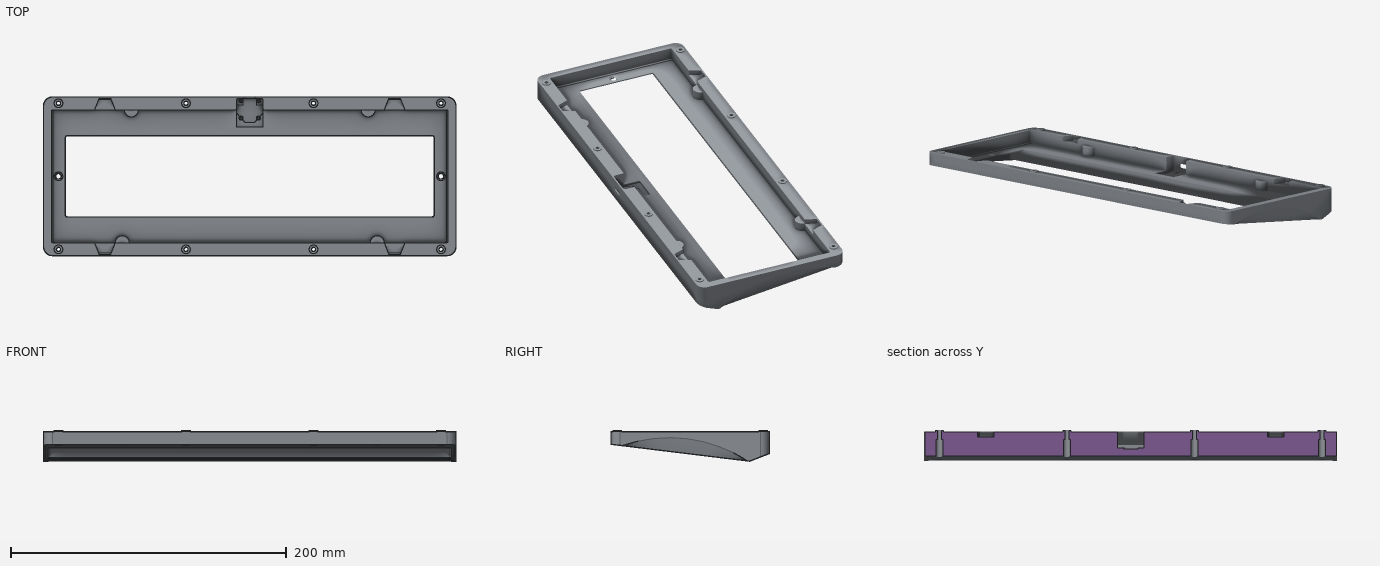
import cadquery as cq
import math

LENGTH = 299.5
WIDTH = 115.3
CORNER_RADIUS = 6.5
BOSS_HEIGHT = 1.0
RIM_TO_BASE = 22.5 - BOSS_HEIGHT
FRONT_HEIGHT = 9.3
BACK_HEIGHT = 16.0
RIDGE_Y = 43.0
OVERCUT = 3.0

TRAY_LENGTH = 288.0
TRAY_WIDTH = 96.5
TRAY_DEPTH = 10.0
TRAY_CORNER_RADIUS = 1.2
END_LEDGE = 1.2
END_LEDGE_HEIGHT = 1.0

WINDOW_LENGTH = 267.7
WINDOW_WIDTH = 58.7
WINDOW_CORNER_RADIUS = 1.5
SHELF_THICKNESS = 1.0
POCKET_LENGTH = 293.0
POCKET_CORNER_RADIUS = 1.8

STEP_DEPTH = 1.0
STEP_FRONT_Y = -37.7
STEP_BACK_Y = 44.0

SCOOP_FRONT_Y = -49.5
SCOOP_BACK_Y = 41.5
SCOOP_RISE = 10.8
SCOOP_DEPTH = 1.5
SCOOP_INNER_RISE = 0.05

SCREW_PITCH = 92.5
SCREW_COLUMNS = 4
SCREW_Y = 53.0
BOSS_DIAMETER = 6.3
SCREW_HOLE_DIAMETER = 2.9
HEAD_DIAMETER = 4.8
HEAD_SEAT_Z = -6.0
END_HOLE_DIAMETER = 4.0

NOTCH_X = 105.0
NOTCH_INNER_WIDTH = 15.0
NOTCH_OUTER_WIDTH = 8.5
NOTCH_OUTER_Y = 56.5
NOTCH_DEPTH = 4.0
NOTCH_CHAMFER = 1.0

LUG_RADIUS = 5.0
LUG_TOP_Z = -3.3
BACK_LUG_X = 86.0
FRONT_LUG_X = 92.5

BAY_WIDTH = 19.2
BAY_FRONT_Y = 35.5
BAY_BACK_Y = 56.5
BAY_DEPTH = 11.7
WELL_DEPTH = 12.3
WELL_FRONT_Y = 39.2
WELL_FRONT_WIDTH = 7.2
WELL_SIDE_FRONT_Y = 45.8
WELL_SIDE_BACK_Y = 51.8
WELL_NECK_WIDTH = 10.0
BAY_BACK_CORNER_RADIUS = 1.5
BAY_MOUTH_RADIUS = 1.0
PLUG_SLOT_LENGTH = 8.7
PLUG_SLOT_HEIGHT = 3.3
PLUG_SLOT_Z = -7.0
POST_X = 6.3
POST_YS = (42.2, 54.8)
POST_DIAMETER = 2.9
POST_HOLE_DIAMETER = 1.62
POST_HEIGHT = 1.0

TRAY_WALL_Y = TRAY_WIDTH / 2
BOTTOM_SLOPE = (RIM_TO_BASE - FRONT_HEIGHT) / (RIDGE_Y + WIDTH / 2)


def bottom_z(y):
    """Height of the long sloped bottom face at a given Y."""
    return -FRONT_HEIGHT - BOTTOM_SLOPE * (y + WIDTH / 2)


def box(x_size, y_min, y_max, z_min, z_max):
    """Block centred on X = 0."""
    return (cq.Workplane("XY", origin=(0, (y_min + y_max) / 2, z_min))
            .rect(x_size, y_max - y_min).extrude(z_max - z_min))


def cylinder(x, y, diameter, z_min, z_max):
    return cq.Workplane("XY", origin=(x, y, z_min)).circle(diameter / 2).extrude(z_max - z_min)


def make_body():
    side_profile = [
        (-WIDTH / 2, 0),
        (WIDTH / 2, 0),
        (WIDTH / 2, -BACK_HEIGHT),
        (RIDGE_Y, -RIM_TO_BASE),
        (-WIDTH / 2, -FRONT_HEIGHT),
    ]
    wedge = cq.Workplane("YZ").polyline(side_profile).close().extrude(LENGTH / 2, both=True)
    corners = box(LENGTH, -WIDTH / 2, WIDTH / 2, -RIM_TO_BASE, 0).edges("|Z").fillet(CORNER_RADIUS)
    return wedge.intersect(corners)


def cut_tray(body):
    tray = box(TRAY_LENGTH, -TRAY_WALL_Y, TRAY_WALL_Y, -TRAY_DEPTH + END_LEDGE_HEIGHT, OVERCUT)
    floor_length = TRAY_LENGTH - 2 * END_LEDGE
    deep_tray = box(floor_length, -TRAY_WALL_Y, TRAY_WALL_Y, -TRAY_DEPTH, OVERCUT)
    return (body.cut(tray.edges("|Z").fillet(TRAY_CORNER_RADIUS))
            .cut(deep_tray.edges("|Z").fillet(TRAY_CORNER_RADIUS)))


def cut_window(body):
    half = WINDOW_WIDTH / 2
    base = -RIM_TO_BASE - OVERCUT
    window = box(WINDOW_LENGTH, -half, half, base, 0).edges("|Z").fillet(WINDOW_CORNER_RADIUS)
    pocket = box(POCKET_LENGTH, -half, half, base, -TRAY_DEPTH - SHELF_THICKNESS)
    return body.cut(window).cut(pocket.edges("|Z").fillet(POCKET_CORNER_RADIUS))


def cut_bottom_step(body):
    profile = [
        (STEP_FRONT_Y, bottom_z(STEP_FRONT_Y) + STEP_DEPTH),
        (STEP_BACK_Y, bottom_z(STEP_BACK_Y) + STEP_DEPTH),
        (STEP_BACK_Y, bottom_z(STEP_BACK_Y) - OVERCUT),
        (STEP_FRONT_Y, bottom_z(STEP_FRONT_Y) - OVERCUT),
    ]
    step = cq.Workplane("YZ").polyline(profile).close().extrude(POCKET_LENGTH / 2, both=True)
    return body.cut(step)


def scoop_section(rise, x):
    """Circular segment of the given rise above the sloped bottom, with a margin below it."""
    slope = math.atan(BOTTOM_SLOPE)
    middle_y = (SCOOP_FRONT_Y + SCOOP_BACK_Y) / 2
    crown = (middle_y + rise * math.sin(slope), bottom_z(middle_y) + rise * math.cos(slope))
    return (cq.Workplane("YZ", origin=(x, 0, 0))
            .moveTo(SCOOP_FRONT_Y, bottom_z(SCOOP_FRONT_Y))
            .threePointArc(crown, (SCOOP_BACK_Y, bottom_z(SCOOP_BACK_Y)))
            .lineTo(SCOOP_BACK_Y, bottom_z(SCOOP_BACK_Y) - OVERCUT)
            .lineTo(SCOOP_FRONT_Y, bottom_z(SCOOP_FRONT_Y) - OVERCUT)
            .close().val())


def cut_scoops(body):
    outer = scoop_section(SCOOP_RISE, -LENGTH / 2)
    inner = scoop_section(SCOOP_INNER_RISE, -LENGTH / 2 + SCOOP_DEPTH)
    scoop = cq.Workplane(cq.Solid.makeLoft([outer, inner], True))
    return body.cut(scoop).cut(scoop.mirror("YZ"))


def add_lugs(body):
    lugs = [(BACK_LUG_X, 1), (FRONT_LUG_X, -1)]
    for lug_x, side in lugs:
        for x in (-lug_x, lug_x):
            y = side * TRAY_WALL_Y
            body = body.union(cylinder(x, y, 2 * LUG_RADIUS, -TRAY_DEPTH, LUG_TOP_Z))
    return body


def cut_notches(body):
    outline = [
        (-NOTCH_INNER_WIDTH / 2, TRAY_WALL_Y),
        (-NOTCH_OUTER_WIDTH / 2, NOTCH_OUTER_Y),
        (NOTCH_OUTER_WIDTH / 2, NOTCH_OUTER_Y),
        (NOTCH_INNER_WIDTH / 2, TRAY_WALL_Y),
    ]
    notch = (cq.Workplane("XY", origin=(0, 0, -NOTCH_DEPTH))
             .polyline(outline).close().extrude(NOTCH_DEPTH + OVERCUT)
             .faces(">Y").edges("<Z").chamfer(NOTCH_CHAMFER))
    for x in (-NOTCH_X, NOTCH_X):
        back_notch = notch.translate((x, 0, 0))
        body = body.cut(back_notch).cut(back_notch.mirror("XZ"))
    return body


def make_connector_bay(body):
    bay = box(BAY_WIDTH, BAY_FRONT_Y, BAY_BACK_Y, -BAY_DEPTH, OVERCUT)
    body = body.cut(bay.faces(">Y").edges("|Z").fillet(BAY_BACK_CORNER_RADIUS))
    mouth = cq.selectors.BoxSelector(
        (-BAY_WIDTH, TRAY_WALL_Y - BAY_MOUTH_RADIUS, -BAY_DEPTH),
        (BAY_WIDTH, TRAY_WALL_Y + BAY_MOUTH_RADIUS, OVERCUT))
    body = body.edges(mouth).edges("|Z").fillet(BAY_MOUTH_RADIUS)
    plug_slot = (cq.Workplane("XZ", origin=(0, BAY_BACK_Y - OVERCUT, PLUG_SLOT_Z))
                 .slot2D(PLUG_SLOT_LENGTH, PLUG_SLOT_HEIGHT).extrude(-2 * OVERCUT))
    body = body.cut(plug_slot)
    half_outline = [
        (WELL_FRONT_WIDTH / 2, WELL_FRONT_Y),
        (BAY_WIDTH / 2, WELL_SIDE_FRONT_Y),
        (BAY_WIDTH / 2, WELL_SIDE_BACK_Y),
        (WELL_NECK_WIDTH / 2, WELL_SIDE_BACK_Y),
        (WELL_NECK_WIDTH / 2, BAY_BACK_Y),
    ]
    outline = half_outline + [(-x, y) for x, y in reversed(half_outline)]
    well = (cq.Workplane("XY", origin=(0, 0, -WELL_DEPTH))
            .polyline(outline).close().extrude(WELL_DEPTH))
    body = body.cut(well)
    for x in (-POST_X, POST_X):
        for y in POST_YS:
            body = body.union(cylinder(x, y, POST_DIAMETER, -WELL_DEPTH, POST_HEIGHT - WELL_DEPTH))
            body = body.cut(cylinder(x, y, POST_HOLE_DIAMETER, -WELL_DEPTH, 0))
    return body


def add_screws(body):
    base = -RIM_TO_BASE - OVERCUT
    columns = [(i - (SCREW_COLUMNS - 1) / 2) * SCREW_PITCH for i in range(SCREW_COLUMNS)]
    for x in columns:
        for y in (-SCREW_Y, SCREW_Y):
            body = body.union(cylinder(x, y, BOSS_DIAMETER, HEAD_SEAT_Z, BOSS_HEIGHT))
            body = body.cut(cylinder(x, y, SCREW_HOLE_DIAMETER, base, OVERCUT))
            body = body.cut(cylinder(x, y, HEAD_DIAMETER, base, HEAD_SEAT_Z))
    for x in (columns[0], columns[-1]):
        countersink = (cq.Workplane("XY", origin=(x, 0, -TRAY_DEPTH)).circle(BOSS_DIAMETER / 2)
                       .workplane(offset=-SHELF_THICKNESS).circle(END_HOLE_DIAMETER / 2).loft())
        body = body.cut(countersink)
    return body


frame = make_body()
frame = cut_tray(frame)
frame = cut_window(frame)
frame = cut_bottom_step(frame)
frame = cut_scoops(frame)
frame = add_lugs(frame)
frame = cut_notches(frame)
frame = make_connector_bay(frame)
result = add_screws(frame)